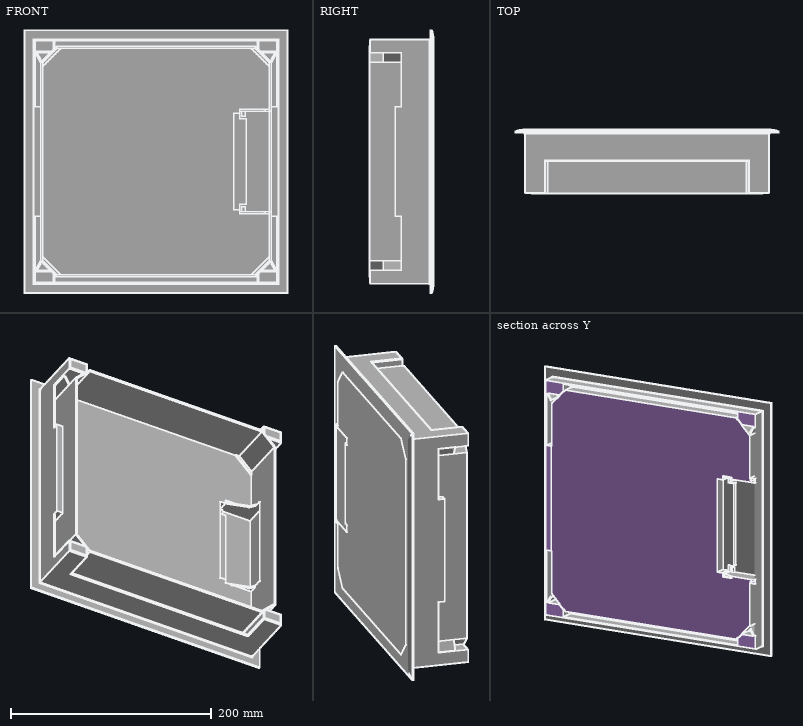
import cadquery as cq
import math


flange_width = 263.0
total_depth = 64.3

flange_thickness = 3.4
flange_round_width = 8.5
flange_round_depth = 1.9
collar_width = 245.0
collar_depth = 4.5
frame_width = 244.3
wall_thickness = 1.5
frame_half = frame_width / 2
frame_inner_half = frame_half - wall_thickness
edge_bevel = 1.0
leg_bevel_width = 1.5
leg_bevel_depth = 0.8
leg_depth = total_depth - 0.3
end_wall_depth = 31.8
end_opening_half = 101.2
side_wall_depth = 32.4
side_opening_half = 108.7
bridge_depth = 38.6
bridge_half_length = 54.7
web_depth = 50.4
web_thickness = 1.7

lid_width = 230.6
lid_wall = 2.0
lid_corner_wall = 1.4
lid_floor_depth = 17.7
lid_half = lid_width / 2
lid_inner_half = lid_half - lid_wall
lid_corner_cut = 16.2
inner_corner_cut = lid_corner_cut - 2 * lid_wall + math.sqrt(2) * lid_corner_wall
corner_step_cut = 18.3
corner_step_height = 1.0

outlet_half_length = 50.2
outlet_depth = 35.0
outlet_cheek = 2.0
outlet_end_x = frame_inner_half
tongue_half_length = outlet_half_length + outlet_cheek
grip_edge_x = 77.8
grip_half_length = 48.2
hinge_edge_x = 83.9
ledge_depth = 6.8
ramp_width = 2.0
ramp_start_depth = 14.5
ramp_crest_x = 107.0
ramp_crest_depth = 21.0
ramp_notch_x = 109.0
ramp_end_depth = 26.5

flap_thickness = 2.7
flap_edge_x = 90.2
ear_inner_z = 42.8
barrel_inner_z = 45.2
barrel_diameter = 3.4
barrel_x = 87.5


def at_depth(depth):
    """Plane parallel to XZ at a depth below the outer face, with its normal toward -Y."""
    return cq.Workplane("XZ", origin=(0, total_depth / 2 - depth, 0))


def block(x_min, x_max, z_min, z_max, depth_min, depth_max):
    return (
        at_depth(depth_min)
        .center((x_min + x_max) / 2, (z_min + z_max) / 2)
        .rect(x_max - x_min, z_max - z_min)
        .extrude(depth_max - depth_min)
    )


def square_block(width, depth_min, depth_max):
    return at_depth(depth_min).rect(width, width).extrude(depth_max - depth_min)


def cut_corner_block(half_width, corner_cut, depth_min, depth_max):
    """Square prism whose four corners are cut off at 45 degrees."""
    return square_block(2 * half_width, depth_min, depth_max).edges("|Y").chamfer(corner_cut)


def in_four_corners(body):
    """Copies of a body mirrored into all four corners of the box."""
    pair = body.union(body.mirror("YZ"))
    return pair.union(pair.mirror("XY"))



def make_flange_bar(plane):
    """Long bar with the flange's cross-section: flat outer face with rounded edges."""
    half_width = flange_width / 2
    return (
        cq.Workplane(plane)
        .moveTo(0, total_depth / 2)
        .lineTo(half_width - flange_round_width, total_depth / 2)
        .tangentArcPoint((half_width, total_depth / 2 - flange_round_depth), relative=False)
        .lineTo(half_width, total_depth / 2 - flange_thickness)
        .lineTo(0, total_depth / 2 - flange_thickness)
        .mirrorY()
        .extrude(half_width, both=True)
    )


def make_flange():
    plate = make_flange_bar("XY").intersect(make_flange_bar("ZY"))
    return plate.union(square_block(collar_width, flange_thickness, collar_depth))


def make_walls():
    outside = square_block(frame_width, flange_thickness, side_wall_depth)
    return outside.cut(square_block(2 * frame_inner_half, flange_thickness, side_wall_depth))


def make_leg():
    leg = block(end_opening_half, frame_half, side_opening_half, frame_half, flange_thickness, leg_depth)
    return leg.faces("<Y").chamfer(leg_bevel_depth, leg_bevel_width)


def make_web():
    """Thin slanted plate from the foot of a leg to the corner of the lid."""
    outer = (frame_inner_half, side_opening_half)
    inner = (lid_half, lid_half - lid_corner_cut)
    inner_back = (lid_half, lid_half - lid_corner_cut + 2 * web_thickness)
    outer_back = (outer[0] - web_thickness, side_opening_half)
    return (
        at_depth(flange_thickness)
        .polyline([outer, inner, inner_back, outer_back])
        .close()
        .extrude(web_depth - flange_thickness)
    )


def make_end_opening():
    """Opening in the +Z wall, flared at the outer surface of the wall."""
    opening = block(
        -end_opening_half, end_opening_half, lid_half, frame_half, end_wall_depth, total_depth
    )
    flare = (
        cq.Workplane("XY", origin=(0, 0, frame_half))
        .center(0, -end_wall_depth / 2)
        .rect(2 * (end_opening_half + edge_bevel), total_depth - end_wall_depth + 2 * edge_bevel)
        .extrude(-2 * edge_bevel, taper=45)
    )
    return opening.union(flare)


def make_frame():
    frame = make_flange().union(make_walls())
    bridge = block(
        lid_half, frame_half, -bridge_half_length, bridge_half_length, flange_thickness, bridge_depth
    )
    frame = frame.union(bridge).union(bridge.mirror("YZ"))
    frame = frame.union(in_four_corners(make_leg().union(make_web())))
    end_opening = make_end_opening()
    frame = frame.cut(end_opening).cut(end_opening.mirror("XY"))
    frame = frame.cut(cut_corner_block(lid_half, lid_corner_cut, 0, total_depth))
    return frame.cut(make_tongue())



def make_tongue():
    """Block on the lid's +X wall that carries the outlet through to the frame wall."""
    return block(lid_half, outlet_end_x, -tongue_half_length, tongue_half_length, 0, outlet_depth)


def make_tray():
    tray = cut_corner_block(lid_half, lid_corner_cut, 0, total_depth)
    step_top = lid_floor_depth + corner_step_height
    tray = tray.cut(cut_corner_block(lid_inner_half, inner_corner_cut, step_top, total_depth))
    return tray.cut(cut_corner_block(lid_inner_half, corner_step_cut, lid_floor_depth, step_top))


def make_ramp():
    """Guide ramp beside the outlet, climbing from below the lid floor up the lid wall."""
    profile = [
        (hinge_edge_x, ramp_start_depth),
        (ramp_crest_x, ramp_crest_depth),
        (ramp_notch_x, ramp_crest_depth),
        (lid_inner_half, ramp_end_depth),
        (lid_inner_half, flap_thickness),
        (hinge_edge_x, flap_thickness),
    ]
    return (
        cq.Workplane("XY", origin=(0, total_depth / 2, outlet_half_length))
        .polyline([(x, -depth) for x, depth in profile])
        .close()
        .extrude(ramp_width)
    )


def make_lid():
    lid = make_tray().union(make_tongue())
    ramp_end_z = outlet_half_length + ramp_width
    ramp_slot = block(
        hinge_edge_x, lid_inner_half, outlet_half_length, ramp_end_z, ramp_start_depth, lid_floor_depth
    )
    ramp = make_ramp()
    for slot, filling in ((ramp_slot, ramp), (ramp_slot.mirror("XY"), ramp.mirror("XY"))):
        lid = lid.cut(slot).union(filling)
    grip = block(
        grip_edge_x, hinge_edge_x, -grip_half_length, grip_half_length, ledge_depth, lid_floor_depth
    )
    ledge = block(hinge_edge_x, flap_edge_x, -ear_inner_z, ear_inner_z, flap_thickness, ledge_depth)
    outlet = block(
        hinge_edge_x, outlet_end_x, -outlet_half_length, outlet_half_length, flap_thickness, outlet_depth
    )
    return lid.cut(grip).cut(outlet.cut(ledge)).cut(make_flap_plate())



def make_flap_plate():
    """Flap plate with an ear at each end of its hinge edge."""
    plate = block(flap_edge_x, outlet_end_x, -outlet_half_length, outlet_half_length, 0, flap_thickness)
    ear = block(hinge_edge_x, flap_edge_x, ear_inner_z, outlet_half_length, 0, flap_thickness)
    return plate.union(ear).union(ear.mirror("XY"))


def make_flap():
    barrel = (
        cq.Workplane("XY", origin=(barrel_x, total_depth / 2 - flap_thickness, barrel_inner_z))
        .circle(barrel_diameter / 2)
        .extrude(outlet_half_length - barrel_inner_z)
    )
    barrel = barrel.cut(block(hinge_edge_x, flap_edge_x, 0, outlet_half_length, 0, flap_thickness))
    return make_flap_plate().union(barrel).union(barrel.mirror("XY"))


frame = make_frame()
lid = make_lid()
flap = make_flap()

result = cq.Compound.makeCompound([frame.val(), lid.val(), flap.val()])